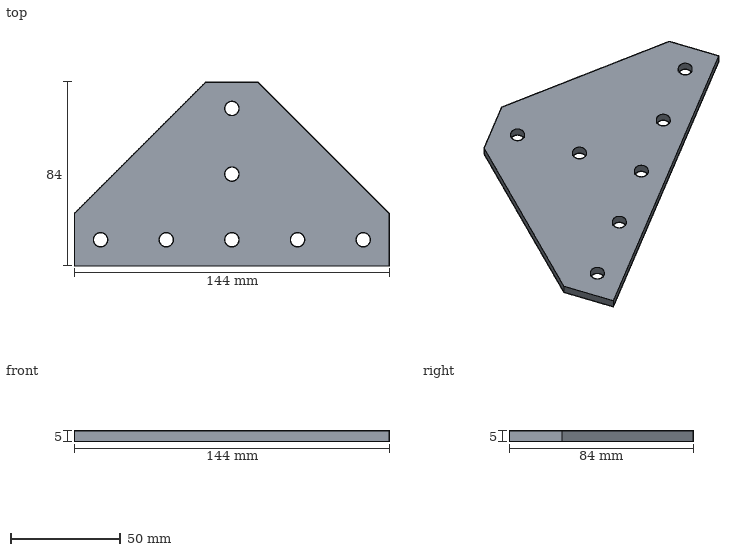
import cadquery as cq

arm_width = 24.0
hole_pitch = 30.0
thickness = 5.0
hole_diameter = 6.4
holes_along_base = 5
holes_up_stem = 2

edge_distance = arm_width / 2
length = (holes_along_base - 1) * hole_pitch + 2 * edge_distance
height = holes_up_stem * hole_pitch + 2 * edge_distance

bottom_y = -edge_distance
top_y = bottom_y + height
shoulder_y = bottom_y + arm_width


def plate():
    """T-shaped joining plate with the inner corners filled by straight sloping edges."""
    outline = [
        (-length / 2, bottom_y),
        (length / 2, bottom_y),
        (length / 2, shoulder_y),
        (arm_width / 2, top_y),
        (-arm_width / 2, top_y),
        (-length / 2, shoulder_y),
    ]
    return cq.Workplane("XY").polyline(outline).close().extrude(thickness)


def hole_centres():
    """Centres of the base row followed by those of the stem."""
    first_x = -(holes_along_base - 1) * hole_pitch / 2
    base_row = [(first_x + i * hole_pitch, 0) for i in range(holes_along_base)]
    stem = [(0, i * hole_pitch) for i in range(1, holes_up_stem + 1)]
    return base_row + stem


def bolt_holes():
    """Cylinders that cut the bolt holes through the full thickness."""
    return cq.Workplane("XY").pushPoints(hole_centres()).circle(hole_diameter / 2).extrude(thickness)


result = plate().cut(bolt_holes())